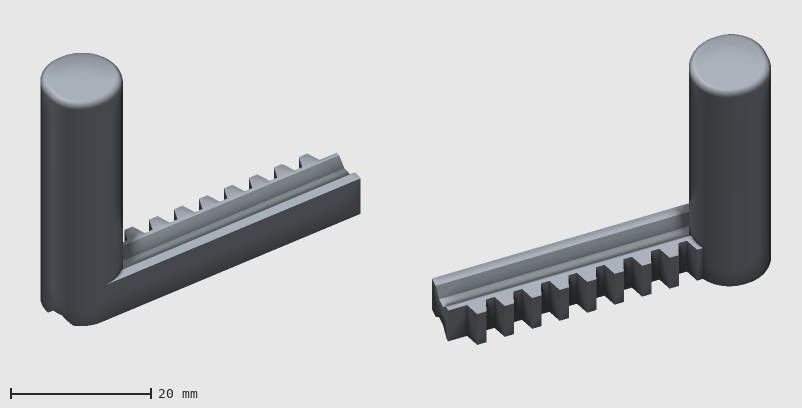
import cadquery as cq
import math

post_width = 11.6
post_height = 42.41
back_radius = post_width / 2
front_flat_width = 1.0
front_corner_radius = (post_width - front_flat_width) / 2
side_flat_length = 0.5
post_front_y = -(side_flat_length + front_corner_radius)
post_top_fillet = 1.0

overall_length = 49.05
rack_height = 6.8
rack_root_x = -0.65
rack_side_x = post_width / 2
rack_end_y = overall_length + post_front_y

tooth_count = 9
tooth_pitch = 4.2
tooth_depth = 2.1
tooth_root_width = 2.9
tooth_tip_width = 1.4
first_tooth_setback = 2.9

groove_center_x = 2.15
groove_mouth_width = 4.3
groove_floor_width = 1.5
groove_depth = (groove_mouth_width - groove_floor_width) / 2


def make_post():
    half_width = post_width / 2
    half_flat = front_flat_width / 2
    corner_y = -side_flat_length
    diagonal = front_corner_radius * math.sqrt(0.5)
    outline = (
        cq.Workplane("XY")
        .moveTo(half_width, 0)
        .threePointArc((0, back_radius), (-half_width, 0))
        .lineTo(-half_width, corner_y)
        .threePointArc((-half_flat - diagonal, corner_y - diagonal), (-half_flat, post_front_y))
        .lineTo(half_flat, post_front_y)
        .threePointArc((half_flat + diagonal, corner_y - diagonal), (half_width, corner_y))
        .close()
    )
    return outline.extrude(post_height).faces(">Z").edges().fillet(post_top_fillet)


def make_rack_bar():
    return cq.Workplane("XY").box(
        rack_side_x - rack_root_x, rack_end_y, rack_height, centered=False
    ).translate((rack_root_x, 0, 0))


def make_tooth(center_y):
    tip_x = rack_root_x - tooth_depth
    profile = [
        (rack_root_x, center_y - tooth_root_width / 2),
        (tip_x, center_y - tooth_tip_width / 2),
        (tip_x, center_y + tooth_tip_width / 2),
        (rack_root_x, center_y + tooth_root_width / 2),
    ]
    return cq.Workplane("XY").polyline(profile).close().extrude(rack_height)


def make_groove(mouth_z, floor_z):
    """Cutter for a full-length groove that narrows from its mouth to its floor."""
    profile = [
        (groove_center_x - groove_mouth_width / 2, mouth_z),
        (groove_center_x - groove_floor_width / 2, floor_z),
        (groove_center_x + groove_floor_width / 2, floor_z),
        (groove_center_x + groove_mouth_width / 2, mouth_z),
    ]
    front_plane = cq.Workplane("XZ", origin=(0, post_front_y, 0))
    return front_plane.polyline(profile).close().extrude(-overall_length)


rack = make_rack_bar()
first_tooth_y = rack_end_y - first_tooth_setback - tooth_root_width / 2
for index in range(tooth_count):
    rack = rack.union(make_tooth(first_tooth_y - index * tooth_pitch))

rack = rack.cut(make_groove(rack_height, rack_height - groove_depth))
result = make_post().union(rack).cut(make_groove(0, groove_depth))